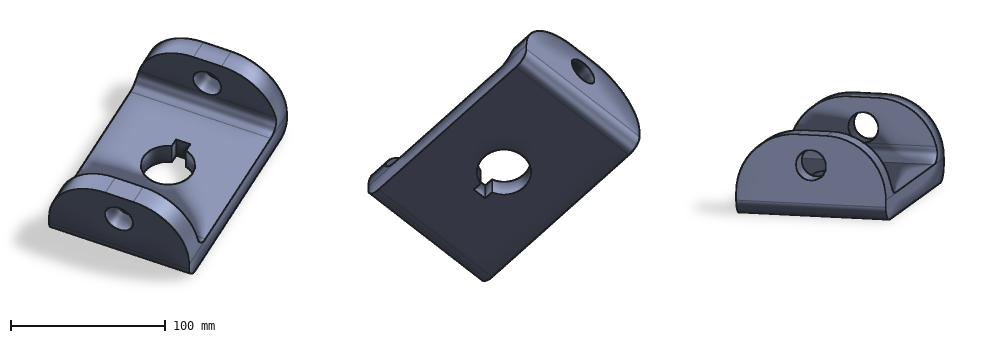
import cadquery as cq

length = 150.0
width = 100.0
height = 55.0
thickness = 15.0
bend_radius = 10.0
ear_hole_diameter = 20.0
ear_hole_drop = 20.0
bore_diameter = 35.0
key_width = 10.0
key_reach = 23.2

ear_corner_radius = height - thickness
ear_hole_height = height - ear_hole_drop


def make_rounded_block():
    """Solid block with rounded bottom bends and rounded upper ear corners."""
    block = cq.Workplane("XY").box(width, length, height, centered=(True, True, False))
    block = block.edges("|X and <Z").fillet(bend_radius)
    return block.edges("|Y and >Z").fillet(ear_corner_radius)


def make_cavity():
    """Space between the ears, with rounded inside bends."""
    return (
        cq.Workplane("XY")
        .workplane(offset=thickness)
        .box(width, length - 2 * thickness, height, centered=(True, True, False))
        .edges("|X and <Z")
        .fillet(bend_radius)
    )


def make_ear_holes():
    """Cylinder that passes through both ears."""
    return (
        cq.Workplane("XZ")
        .center(0, ear_hole_height)
        .circle(ear_hole_diameter / 2)
        .extrude(length / 2, both=True)
    )


def make_keyed_bore():
    """Bore through the base with a keyway on its +Y side."""
    bore = cq.Workplane("XY").circle(bore_diameter / 2).extrude(thickness)
    keyway = cq.Workplane("XY").box(key_width, key_reach, thickness, centered=(True, False, False))
    return bore.union(keyway)


result = make_rounded_block().cut(make_cavity()).cut(make_ear_holes()).cut(make_keyed_bore())